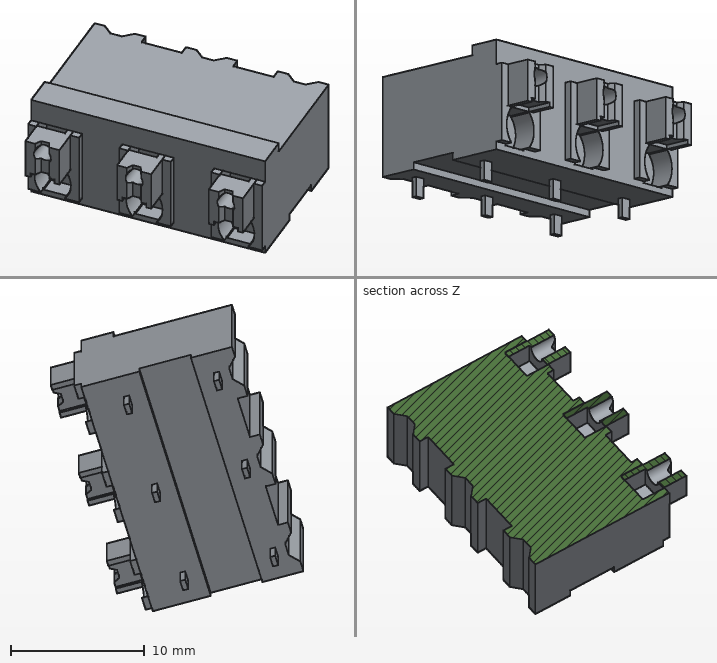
import cadquery as cq


pole_pitch = 7.5
pole_centres = [-pole_pitch, 0, pole_pitch]

housing_length = 19.13
housing_depth = 11.73
housing_height = 7.73
ridge_depth = 2.5
ridge_height = 0.77
underside_slot_front = 4.51
underside_slot_back = 8.53
underside_slot_height = 0.55

panel_width = 4.2
panel_thickness = 0.55
panel_bottom = 0.61
panel_top = 6.6
lug_length = 0.77
lug_notch_depth = 0.69
lug_notch_mouth = 2.47
lug_notch_floor = 0.94

lever_width = 2.8
lever_bottom = 3.4
lever_height = panel_top - lever_bottom
lever_front = -2.58
head_back = -0.45
lever_arm_width = 0.48
lever_floor_thickness = 0.48
pocket_depth = 1.42

groove_depth = 0.5
groove_mouth = 1.17
groove_floor = 0.65
test_hole_diameter = 1.4
test_hole_height = 5.62
wire_clearance_top = 3.73

entry_bottom = 0.48
entry_flat_width = 1.95
entry_bulge_width = 2.97
entry_bulge_bottom = 0.61
entry_bulge_top = 3.3
entry_depth = 1.34
entry_offset = -0.05

pin_width = 0.8
pin_thickness = 0.4
pin_length = 1.51
front_pin_y = 3.05
pin_row_spacing = 7.0
pin_rows = [front_pin_y, front_pin_y + pin_row_spacing]


def block(x_range, y_range, z_range):
    """Axis-aligned box given by its limits along X, Y and Z."""
    (x0, x1), (y0, y1), (z0, z1) = x_range, y_range, z_range
    return cq.Workplane("XY").box(x1 - x0, y1 - y0, z1 - z0, centered=False).translate((x0, y0, z0))


def centred(middle, width):
    """Limits of a width centred on a place."""
    return (middle - width / 2, middle + width / 2)


def trapezoid_cut(x, y, mouth, floor, depth, bottom, height):
    """Upright groove with sloped flanks; a negative depth cuts toward -Y."""
    outline = [
        (x - mouth / 2, y),
        (x - floor / 2, y + depth),
        (x + floor / 2, y + depth),
        (x + mouth / 2, y),
    ]
    return cq.Workplane("XY", origin=(0, 0, bottom)).polyline(outline).close().extrude(height)


def wire_entry(x):
    """Flat-bottomed opening with bulging sides, running from the panel face into the housing."""
    middle = x + entry_offset
    flat_left, flat_right = centred(middle, entry_flat_width)
    bulge_left, bulge_right = centred(middle, entry_bulge_width)
    bulge_middle = (entry_bulge_bottom + entry_bulge_top) / 2
    return (
        cq.Workplane("XZ", origin=(0, entry_depth, 0))
        .moveTo(flat_left, entry_bottom)
        .lineTo(flat_right, entry_bottom)
        .lineTo(flat_right, entry_bulge_bottom)
        .threePointArc((bulge_right, bulge_middle), (flat_right, entry_bulge_top))
        .lineTo(flat_right, lever_bottom)
        .lineTo(flat_left, lever_bottom)
        .lineTo(flat_left, entry_bulge_top)
        .threePointArc((bulge_left, bulge_middle), (flat_left, entry_bulge_bottom))
        .close()
        .extrude(entry_depth + panel_thickness)
    )


def make_housing():
    """Stepped block with panels, lugs, lever pockets and wire entries at every pole."""
    ends = centred(0, housing_length)
    body_back = housing_depth - lug_length
    housing = block(ends, (0, body_back), (0, housing_height))
    housing = housing.union(block(ends, (0, ridge_depth), (0, housing_height + ridge_height)))

    for x in pole_centres:
        left, right = centred(x, panel_width)
        width = (max(left, -housing_length / 2), min(right, housing_length / 2))
        housing = housing.union(block(width, (-panel_thickness, 0), (panel_bottom, panel_top)))
        housing = housing.union(block(width, (body_back, housing_depth), (0, housing_height)))

    slot = (underside_slot_front, underside_slot_back)
    housing = housing.cut(block(ends, slot, (0, underside_slot_height)))

    for x in pole_centres:
        lug_notch = trapezoid_cut(
            x, housing_depth, lug_notch_mouth, lug_notch_floor, -lug_notch_depth, 0, housing_height
        )
        pocket = block(centred(x, lever_width), (-panel_thickness, pocket_depth), (lever_bottom, panel_top))
        housing = housing.cut(lug_notch).cut(pocket).cut(wire_entry(x))
    return housing


def make_lever(x):
    """Head in front, with an arm along its +X side and a thin floor reaching the pocket's back wall."""
    left, right = centred(x, lever_width)
    height = (lever_bottom, panel_top)
    lever = block((left, right), (lever_front, head_back), height)
    lever = lever.union(block((right - lever_arm_width, right), (head_back, pocket_depth), height))
    floor = (lever_bottom, lever_bottom + lever_floor_thickness)
    lever = lever.union(block((left, right), (head_back, pocket_depth), floor))

    groove = trapezoid_cut(
        x, lever_front, groove_mouth, groove_floor, groove_depth, lever_bottom, lever_height
    )
    test_hole = (
        cq.Workplane("XZ", origin=(x, lever_front, test_hole_height))
        .circle(test_hole_diameter / 2)
        .extrude(lever_front - head_back)
    )
    clearance_height = (lever_bottom, wire_clearance_top)
    wire_clearance = block(centred(x, entry_flat_width), (lever_front, head_back), clearance_height)
    return lever.cut(groove).cut(test_hole).cut(wire_clearance)


def make_pin(x, y):
    """Flat pin standing below the board side of the housing."""
    return block(centred(x, pin_width), centred(y, pin_thickness), (-pin_length, 0))


housing = make_housing()
levers = [make_lever(x) for x in pole_centres]
pins = [make_pin(x, y) for x in pole_centres for y in pin_rows]

result = cq.Compound.makeCompound([body.val() for body in [housing, *levers, *pins]])